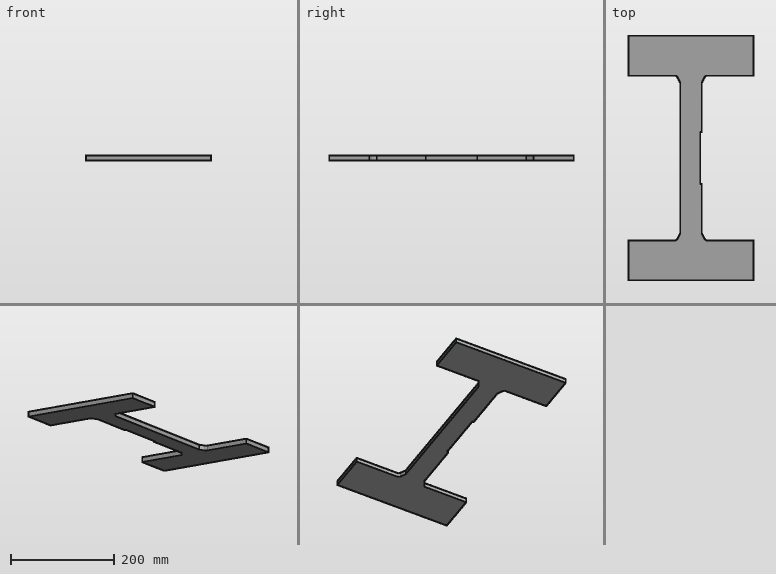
import cadquery as cq

length = 475.0
width = 243.0
thickness = 10.0

flange_depth = 78.0
web_width = 42.0
gusset_width = 7.0
gusset_length = 14.2
gusset_fillet = 4.8

relief_length = 100.0
relief_depth = 3.0

half_length = length / 2
half_width = width / 2
half_web = web_width / 2
flange_inner = half_length - flange_depth


def side_profile(side):
    """Corner points of one long edge, running from -Y to +Y on the given X side."""
    lower_half = [
        (side * half_width, -half_length),
        (side * half_width, -flange_inner),
        (side * (half_web + gusset_width), -flange_inner),
        (side * half_web, -flange_inner + gusset_length),
    ]
    upper_half = [(x, -y) for x, y in reversed(lower_half)]
    return lower_half + upper_half


outline = side_profile(1) + side_profile(-1)[::-1]
plate = cq.Workplane("XY").polyline(outline).close().extrude(thickness)

gusset_roots = [
    (x_side * (half_web + gusset_width), y_side * flange_inner, thickness / 2)
    for x_side in (-1, 1)
    for y_side in (-1, 1)
]
for root in gusset_roots:
    root_edge = plate.edges(cq.selectors.NearestToPointSelector(root))
    plate = root_edge.fillet(gusset_fillet)

relief = (
    cq.Workplane("XY")
    .center(half_web - relief_depth / 2, 0)
    .rect(relief_depth, relief_length)
    .extrude(thickness)
)

result = plate.cut(relief)